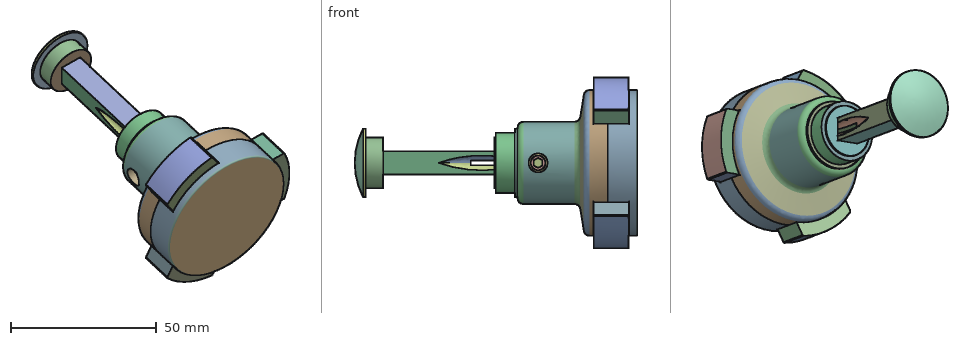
import cadquery as cq
import math

overall_length = 96.88
button_rim_x = 2.9
button_hub_x = 3.9
bar_start_x = 9.8
core_front_x = 47.9
sleeve_front_x = 48.35
flange_front_x = 54.9
housing_front_x = 55.8
cone_start_x = 77.0
cone_end_x = 78.75
seam_x = 86.7
jaw_center_x = 87.9

button_diameter = 23.5
hub_diameter = 17.5
bar_side = 8.0
spindle_center_x = 43.6
spindle_half_length = 14.8
spindle_radius = 2.55
slot_start_x = 39.8
slot_width = 1.5

core_diameter = 17.5
sleeve_bore = 17.7
sleeve_diameter = 20.8
flange_diameter = 23.5
shank_diameter = 21.4

housing_bore = 21.6
nose_diameter = 28.2
nose_rounding = 2.0
neck_fillet = 2.0
disc_diameter = 50.0
disc_rounding = 2.0
cap_edge_rounding = 0.5

screw_x = 62.85
screw_hole_diameter = 6.5
screw_diameter = 5.0
screw_socket_flats = 3.0
screw_socket_depth = 2.0
screw_outer_radius = 10.1
screw_inner_radius = 5.1

jaw_count = 3
jaw_length = 12.0
jaw_width = 22.6
jaw_outer_radius = 29.6
jaw_inner_radius = 15.0
jaw_corner_chamfer = 0.3
pocket_clearance = 0.2


def cylinder(diameter, start_x, end_x):
    """Solid cylinder on the X axis between two stations."""
    return cq.Workplane("YZ").workplane(offset=start_x).circle(diameter / 2).extrude(end_x - start_x)


def ring_edge(x):
    """Selector for the circular edge centred on the axis at a station."""
    return cq.selectors.NearestToPointSelector((x, 0, 0))


def square_bar():
    """Square bar from the button hub to the seam."""
    return (
        cq.Workplane("YZ")
        .workplane(offset=bar_start_x)
        .rect(bar_side, bar_side)
        .extrude(seam_x - bar_start_x)
    )


def radial_cylinder(diameter, inner_radius, outer_radius):
    """Cylinder along -Y at the set screw station, between two distances from the axis."""
    return (
        cq.Workplane("XZ", origin=(screw_x, -inner_radius, 0))
        .circle(diameter / 2)
        .extrude(outer_radius - inner_radius)
    )


def jaw_block(clearance):
    """Flat-sided block with a round outer face, pointing along +Y, grown sideways by the clearance."""
    length = jaw_length + 2 * clearance
    half_width = jaw_width / 2 + clearance
    corner_y = math.sqrt(jaw_outer_radius**2 - half_width**2)
    return (
        cq.Workplane("YZ")
        .workplane(offset=jaw_center_x - length / 2)
        .moveTo(jaw_inner_radius, -half_width)
        .lineTo(corner_y, -half_width)
        .threePointArc((jaw_outer_radius, 0), (corner_y, half_width))
        .lineTo(jaw_inner_radius, half_width)
        .close()
        .extrude(length)
    )


def around_axis(shape):
    """Copies of a shape spaced evenly around the X axis."""
    step = 360 / jaw_count
    return [shape.rotate((0, 0, 0), (1, 0, 0), i * step) for i in range(jaw_count)]


def make_plunger():
    rim_radius = button_diameter / 2
    hub_radius = hub_diameter / 2
    dome_radius = (rim_radius**2 + button_rim_x**2) / (2 * button_rim_x)
    dome_mid_r = rim_radius / 2
    dome_mid_x = dome_radius - math.sqrt(dome_radius**2 - dome_mid_r**2)
    head = (
        cq.Workplane("XY")
        .moveTo(0, 0)
        .threePointArc((dome_mid_x, dome_mid_r), (button_rim_x, rim_radius))
        .lineTo(button_hub_x, rim_radius)
        .lineTo(button_hub_x, hub_radius)
        .lineTo(bar_start_x, hub_radius)
        .lineTo(bar_start_x, 0)
        .close()
        .revolve(360, (0, 0, 0), (1, 0, 0))
    )
    plunger = head.union(square_bar())

    for face_y in (-bar_side / 2, bar_side / 2):
        hollow = (
            cq.Workplane("XY", origin=(spindle_center_x, face_y, 0))
            .moveTo(-spindle_half_length, 0)
            .threePointArc((0, spindle_radius), (spindle_half_length, 0))
            .close()
            .revolve(360, (0, 0, 0), (1, 0, 0))
        )
        plunger = plunger.cut(hollow, clean=False)

    slot_length = seam_x - slot_start_x
    slot = cq.Workplane("XY").box(slot_length, 2 * bar_side, slot_width)
    return plunger.cut(slot.translate((slot_start_x + slot_length / 2, 0, 0)), clean=False)


def make_core():
    core = cylinder(core_diameter, core_front_x, seam_x).cut(square_bar())
    return core.cut(radial_cylinder(screw_diameter, screw_inner_radius, core_diameter))


def make_sleeve():
    neck = cylinder(sleeve_diameter, sleeve_front_x, flange_front_x)
    flange = cylinder(flange_diameter, flange_front_x, housing_front_x)
    shank = cylinder(shank_diameter, housing_front_x, seam_x)
    sleeve = neck.union(flange).union(shank)
    sleeve = sleeve.cut(cylinder(sleeve_bore, sleeve_front_x, seam_x))
    return sleeve.cut(radial_cylinder(screw_diameter, screw_inner_radius, shank_diameter))


def make_housing(pockets):
    nose_radius = nose_diameter / 2
    disc_radius = disc_diameter / 2
    housing = (
        cq.Workplane("XY")
        .moveTo(housing_front_x, 0)
        .lineTo(housing_front_x, nose_radius)
        .lineTo(cone_start_x, nose_radius)
        .lineTo(cone_end_x, disc_radius)
        .lineTo(seam_x, disc_radius)
        .lineTo(seam_x, 0)
        .close()
        .revolve(360, (0, 0, 0), (1, 0, 0))
    )
    housing = housing.edges(ring_edge(housing_front_x)).fillet(nose_rounding)
    housing = housing.edges(ring_edge(cone_start_x)).fillet(neck_fillet)
    housing = housing.edges(ring_edge(cone_end_x)).fillet(disc_rounding)
    housing = housing.cut(cylinder(housing_bore, housing_front_x, seam_x))
    housing = housing.cut(radial_cylinder(screw_hole_diameter, screw_inner_radius, disc_radius))
    for pocket in pockets:
        housing = housing.cut(pocket)
    return housing


def make_cap(pockets):
    cap = cylinder(disc_diameter, seam_x, overall_length)
    cap = cap.faces(">X").edges().fillet(cap_edge_rounding)
    for pocket in pockets:
        cap = cap.cut(pocket)
    return cap


def make_screw():
    screw = radial_cylinder(screw_diameter, screw_inner_radius, screw_outer_radius)
    socket = (
        cq.Workplane("XZ", origin=(screw_x, -screw_outer_radius, 0))
        .polygon(6, screw_socket_flats / math.cos(math.pi / 6))
        .extrude(-screw_socket_depth)
        .rotate((screw_x, 0, 0), (screw_x, 1, 0), 30)
    )
    return screw.cut(socket)


def make_jaw():
    jaw = jaw_block(0)
    return jaw.faces(">Y").edges("|X").chamfer(jaw_corner_chamfer)


pockets = around_axis(jaw_block(pocket_clearance))

plunger = make_plunger()
core = make_core()
sleeve = make_sleeve()
housing = make_housing(pockets)
cap = make_cap(pockets)
screw = make_screw()
jaws = around_axis(make_jaw())

result = cq.Compound.makeCompound(
    [
        plunger.val(),
        core.val(),
        sleeve.val(),
        housing.val(),
        cap.val(),
        screw.val(),
        *[jaw.val() for jaw in jaws],
    ]
)